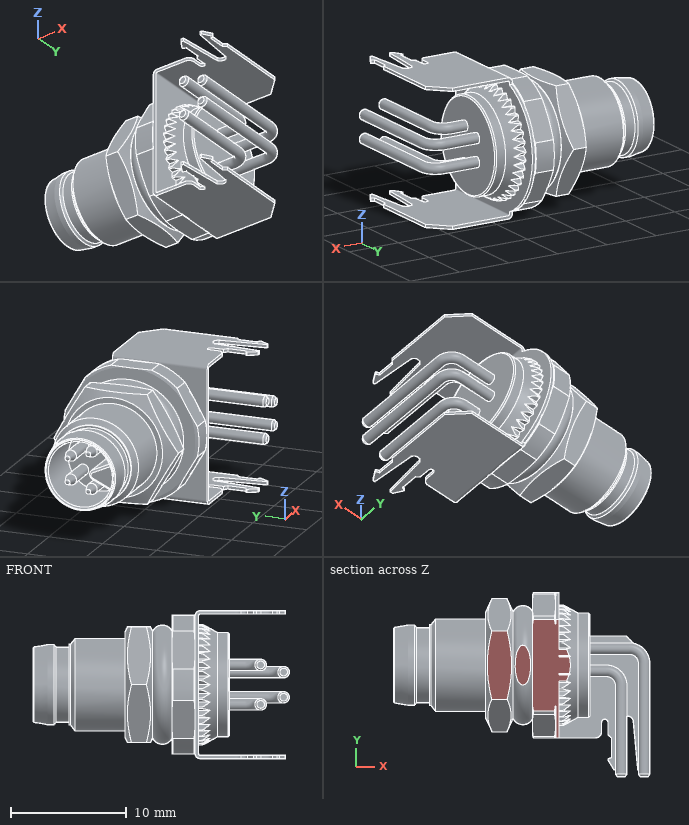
import cadquery as cq
import math


TIP_RADIUS = 3.28
TIP_EDGE = 0.09
TIP_TAPER_END = 1.26
TIP_BAND_RADIUS = 3.48
TIP_BAND_END = 1.8
NECK_START = 2.0
NECK_RADIUS = 3.25
NECK_END = 3.1
SHOULDER_RADIUS = 3.5
SHOULDER_EDGE_END = 3.23
BODY_START = 3.63
BODY_RADIUS = 4.0

SOCKET_DEPTH = 4.43
SOCKET_RADIUS = 2.97
SOCKET_FLOOR_RADIUS = 2.85
SOCKET_MOUTH_RADIUS = 3.15
SOCKET_MOUTH_DEPTH = 0.1

KEY_FRONT = 0.22
KEY_TIP_OFFSET = 0.73
KEY_TIP_RADIUS = 0.47
KEY_HALF_ANGLE = 25.0
KEY_CHAMFER = 0.2

NUT_START = 7.93
NUT_END = 10.37
NUT_ACROSS_FLATS = 10.01
NUT_CHAMFER_RADIUS = 4.55
NUT_CHAMFER_LENGTH = 0.58

RING_CORE_RADIUS = 4.23
RING_SECTION_RADIUS = 0.93

FLANGE_START = 11.98
FLANGE_ACROSS_FLATS = 12.0
FLANGE_RADIUS = 6.3
FLANGE_CHAMFER_LENGTH = 0.09
FLANGE_CHAMFER_DEPTH = 0.29

BRACKET_FRONT = 14.0
SHEET = 0.3
BRACKET_HEIGHT = 12.8
BEND_RADIUS = 0.45
BRACKET_TOP = 2.53
BRACKET_BOTTOM = -6.3
LEG_END = 21.8
LEG_CORNER_CUT = 1.68

PRONG_TIP = -9.04
PRONG_TIP_OUTER = 1.13
HOOK_BOTTOM = -8.2
HOOK_TOP = -8.08
HOOK_HALF_WIDTH = 1.65
NECK_BOTTOM = -7.97
NECK_TOP = -6.3
NECK_HALF_WIDTH = 1.33
PRONG_ROOT = -6.02
SLOT_TOP = -4.4
SLOT_ARC_END = -4.75
SLOT_HALF_WIDTH = 0.49
SLOT_MOUTH_HALF_WIDTH = 0.89
SLOT_SHIFT = 0.05
RELIEF_WIDTH = 0.53
RELIEF_TOP = -4.67
LEG_CORNER_RADIUS = 0.55

COLLAR_RADIUS = 5.23
COLLAR_ROUND_START = 14.53
COLLAR_CONE_START = 14.85
COLLAR_CONE_RADIUS = 5.12
REAR_START = 15.93
REAR_RADIUS = 4.52
REAR_END = 16.97
REAR_CHAMFER = 0.13
GROOVE_COUNT = 40
GROOVE_BOTTOM_RADIUS = 4.87

OVERALL_LENGTH = 22.15
PIN_RADIUS = 0.498
CONTACT_TIP = 0.62
CONTACT_DOME_LENGTH = 0.09
CONTACT_DOME_RADIUS = 0.22
CONTACT_TAPER_END = 1.55
PIN_END = -9.65
PIN_END_CHAMFER = 0.25
PIN_END_RADIUS = 0.33
PIN_BEND_RADIUS = 1.28
PIN_PAIRS = [(-0.49, 1.7, 19.67), (1.45, 1.09, OVERALL_LENGTH - PIN_RADIUS)]


def revolve_about_x(outline):
    """Turn a closed XY outline about the connector axis."""
    return outline.close().revolve(360, (0, 0, 0), (1, 0, 0))


def cylinder_x(start, end, radius):
    return cq.Workplane("YZ", origin=(start, 0, 0)).circle(radius).extrude(end - start)


def hexagon_x(start, end, across_flats):
    """Hexagonal prism along X with flats facing +Z and -Z."""
    across_corners = across_flats / math.cos(math.radians(30))
    return cq.Workplane("YZ", origin=(start, 0, 0)).polygon(6, across_corners).extrude(end - start)


def make_body():
    outline = (
        cq.Workplane("XY")
        .lineTo(0, TIP_RADIUS - TIP_EDGE)
        .lineTo(TIP_EDGE, TIP_RADIUS)
        .lineTo(TIP_TAPER_END, TIP_BAND_RADIUS)
        .lineTo(TIP_BAND_END, TIP_BAND_RADIUS)
        .lineTo(NECK_START, NECK_RADIUS)
        .lineTo(NECK_END, NECK_RADIUS)
        .lineTo(NECK_END, SHOULDER_RADIUS)
        .lineTo(SHOULDER_EDGE_END, SHOULDER_RADIUS)
        .lineTo(BODY_START, BODY_RADIUS)
        .lineTo(FLANGE_START, BODY_RADIUS)
        .lineTo(FLANGE_START, 0)
    )
    socket = (
        cq.Workplane("XY")
        .lineTo(0, SOCKET_MOUTH_RADIUS)
        .lineTo(SOCKET_MOUTH_DEPTH, SOCKET_RADIUS)
        .lineTo(SOCKET_DEPTH, SOCKET_FLOOR_RADIUS)
        .lineTo(SOCKET_DEPTH, 0)
    )
    return revolve_about_x(outline).cut(revolve_about_x(socket))


def make_key():
    """Wedge with a rounded tip, reaching from the socket wall towards the axis."""
    angle = math.radians(KEY_HALF_ANGLE)
    tip_centre = -KEY_TIP_OFFSET - KEY_TIP_RADIUS
    tangent_y = tip_centre + KEY_TIP_RADIUS * math.sin(angle)
    tangent_z = KEY_TIP_RADIUS * math.cos(angle)
    back_y = -SOCKET_MOUTH_RADIUS - 2 * KEY_CHAMFER
    back_z = tangent_z + (tangent_y - back_y) * math.tan(angle)
    wedge = (
        cq.Workplane("YZ", origin=(KEY_FRONT, 0, 0))
        .moveTo(back_y, back_z)
        .lineTo(tangent_y, tangent_z)
        .threePointArc((-KEY_TIP_OFFSET, 0), (tangent_y, -tangent_z))
        .lineTo(back_y, -back_z)
        .close()
        .extrude(SOCKET_DEPTH - KEY_FRONT)
        .faces("<X")
        .chamfer(KEY_CHAMFER)
    )
    wall_middle = (SOCKET_RADIUS + TIP_RADIUS) / 2
    return wedge.intersect(cylinder_x(0, SOCKET_DEPTH, wall_middle))


def make_nut():
    corner_radius = NUT_ACROSS_FLATS / 2 / math.cos(math.radians(30))
    envelope = (
        cq.Workplane("XY")
        .moveTo(NUT_START, 0)
        .lineTo(NUT_START, NUT_CHAMFER_RADIUS)
        .lineTo(NUT_START + NUT_CHAMFER_LENGTH, corner_radius)
        .lineTo(NUT_END - NUT_CHAMFER_LENGTH, corner_radius)
        .lineTo(NUT_END, NUT_CHAMFER_RADIUS)
        .lineTo(NUT_END, 0)
    )
    return hexagon_x(NUT_START, NUT_END, NUT_ACROSS_FLATS).intersect(revolve_about_x(envelope))


def make_ring():
    middle = (NUT_END + FLANGE_START) / 2
    section = cq.Workplane("XY").center(middle, RING_CORE_RADIUS).circle(RING_SECTION_RADIUS)
    return section.revolve(360, (0, -RING_CORE_RADIUS, 0), (1, -RING_CORE_RADIUS, 0))


def make_flange():
    face_radius = FLANGE_RADIUS - FLANGE_CHAMFER_DEPTH
    envelope = (
        cq.Workplane("XY")
        .moveTo(FLANGE_START, 0)
        .lineTo(FLANGE_START, face_radius)
        .lineTo(FLANGE_START + FLANGE_CHAMFER_LENGTH, FLANGE_RADIUS)
        .lineTo(BRACKET_FRONT - FLANGE_CHAMFER_LENGTH, FLANGE_RADIUS)
        .lineTo(BRACKET_FRONT, face_radius)
        .lineTo(BRACKET_FRONT, 0)
    )
    return hexagon_x(FLANGE_START, BRACKET_FRONT, FLANGE_ACROSS_FLATS).intersect(revolve_about_x(envelope))


def leg_outline():
    """Side outline of a bracket leg, with two mirrored snap prongs and a slot between them."""
    middle = LEG_END - HOOK_HALF_WIDTH
    slot_middle = middle + SLOT_SHIFT
    relief_right = middle - HOOK_HALF_WIDTH
    relief_left = relief_right - RELIEF_WIDTH
    relief_arc_end = RELIEF_TOP - RELIEF_WIDTH / 2
    prong_side = [
        (HOOK_HALF_WIDTH, PRONG_ROOT),
        (NECK_HALF_WIDTH, NECK_TOP),
        (NECK_HALF_WIDTH, NECK_BOTTOM),
        (HOOK_HALF_WIDTH, HOOK_TOP),
        (HOOK_HALF_WIDTH, HOOK_BOTTOM),
        (PRONG_TIP_OUTER, PRONG_TIP),
    ]
    outline = (
        cq.Workplane("XY")
        .moveTo(BRACKET_FRONT, BRACKET_TOP)
        .lineTo(LEG_END - LEG_CORNER_CUT, BRACKET_TOP)
        .lineTo(LEG_END, BRACKET_TOP - LEG_CORNER_CUT)
    )
    for offset, y in prong_side:
        outline = outline.lineTo(middle + offset, y)
    outline = (
        outline.lineTo(slot_middle + SLOT_MOUTH_HALF_WIDTH, PRONG_TIP)
        .lineTo(slot_middle + SLOT_HALF_WIDTH, SLOT_ARC_END)
        .threePointArc((slot_middle, SLOT_TOP), (slot_middle - SLOT_HALF_WIDTH, SLOT_ARC_END))
        .lineTo(slot_middle - SLOT_MOUTH_HALF_WIDTH, PRONG_TIP)
    )
    for offset, y in reversed(prong_side):
        outline = outline.lineTo(middle - offset, y)
    return (
        outline.lineTo(relief_right, relief_arc_end)
        .threePointArc(((relief_left + relief_right) / 2, RELIEF_TOP), (relief_left, relief_arc_end))
        .lineTo(relief_left, BRACKET_BOTTOM + LEG_CORNER_RADIUS)
        .radiusArc((relief_left - LEG_CORNER_RADIUS, BRACKET_BOTTOM), LEG_CORNER_RADIUS)
        .lineTo(BRACKET_FRONT, BRACKET_BOTTOM)
        .close()
    )


def make_bracket():
    """Bent U-shaped sheet, its web extended by a round lobe behind the flange."""
    half_height = BRACKET_HEIGHT / 2
    length = LEG_END - BRACKET_FRONT
    inside = (
        cq.Workplane("XY")
        .box(length, -2 * PRONG_TIP, BRACKET_HEIGHT - 2 * SHEET, centered=(False, True, True))
        .edges("|Y and <X")
        .fillet(BEND_RADIUS - SHEET)
        .translate((BRACKET_FRONT + SHEET, 0, 0))
    )
    channel = (
        leg_outline()
        .extrude(half_height, both=True)
        .edges("|Y and <X")
        .fillet(BEND_RADIUS)
        .cut(inside)
    )
    flat_web_height = BRACKET_HEIGHT - 2 * BEND_RADIUS
    lobe = cylinder_x(BRACKET_FRONT, BRACKET_FRONT + SHEET, FLANGE_RADIUS).intersect(
        cq.Workplane("XY").box(2 * LEG_END, 2 * FLANGE_RADIUS, flat_web_height)
    )
    return channel.union(lobe)


def make_collar():
    """Rear collar with right-angled V grooves that run out on its cone."""
    arc_middle_x = (COLLAR_ROUND_START + COLLAR_CONE_START) / 2
    arc_middle_radius = COLLAR_RADIUS - (COLLAR_RADIUS - COLLAR_CONE_RADIUS) / 4
    outline = (
        cq.Workplane("XY")
        .moveTo(BRACKET_FRONT, 0)
        .lineTo(BRACKET_FRONT, COLLAR_RADIUS)
        .lineTo(COLLAR_ROUND_START, COLLAR_RADIUS)
        .threePointArc((arc_middle_x, arc_middle_radius), (COLLAR_CONE_START, COLLAR_CONE_RADIUS))
        .lineTo(REAR_START, REAR_RADIUS)
        .lineTo(REAR_END - REAR_CHAMFER, REAR_RADIUS)
        .lineTo(REAR_END, REAR_RADIUS - REAR_CHAMFER)
        .lineTo(REAR_END, 0)
    )
    depth = COLLAR_RADIUS - GROOVE_BOTTOM_RADIUS
    groove = (
        cq.Workplane("YZ", origin=(BRACKET_FRONT, 0, 0))
        .moveTo(-GROOVE_BOTTOM_RADIUS, 0)
        .lineTo(-GROOVE_BOTTOM_RADIUS - 2 * depth, 2 * depth)
        .lineTo(-GROOVE_BOTTOM_RADIUS - 2 * depth, -2 * depth)
        .close()
        .extrude(REAR_START - BRACKET_FRONT)
    )
    collar = revolve_about_x(outline)
    for index in range(GROOVE_COUNT):
        collar = collar.cut(groove.rotate((0, 0, 0), (1, 0, 0), index * 360 / GROOVE_COUNT))
    return collar


def make_contact(y, z):
    """Contact with a low domed tip and a conical lead-in."""
    dome_sphere_radius = (CONTACT_DOME_RADIUS**2 + CONTACT_DOME_LENGTH**2) / (2 * CONTACT_DOME_LENGTH)
    outline = (
        cq.Workplane("XY")
        .moveTo(CONTACT_TIP, 0)
        .radiusArc((CONTACT_TIP + CONTACT_DOME_LENGTH, CONTACT_DOME_RADIUS), dome_sphere_radius)
        .lineTo(CONTACT_TAPER_END, PIN_RADIUS)
        .lineTo(SOCKET_DEPTH, PIN_RADIUS)
        .lineTo(SOCKET_DEPTH, 0)
    )
    return revolve_about_x(outline).translate((0, y, z))


def make_solder_pin(y, z, leg_x):
    """Round pin leaving the rear face along X, bent down along -Y, with a chamfered end."""
    bend_start = leg_x - PIN_BEND_RADIUS
    bend_end = y - PIN_BEND_RADIUS
    path = (
        cq.Workplane("XY", origin=(0, 0, z))
        .moveTo(REAR_END, y)
        .lineTo(bend_start, y)
        .radiusArc((leg_x, bend_end), PIN_BEND_RADIUS)
        .lineTo(leg_x, PIN_END)
    )
    pin = cq.Workplane("YZ", origin=(REAR_END, y, z)).circle(PIN_RADIUS).sweep(path)
    return pin.faces("<Y").chamfer(PIN_END_CHAMFER, PIN_RADIUS - PIN_END_RADIUS)


result = make_body()
for part in (make_key(), make_nut(), make_ring(), make_flange(), make_bracket(), make_collar()):
    result = result.union(part)
for pin_y, pin_z, pin_leg_x in PIN_PAIRS:
    for side in (1, -1):
        result = result.union(make_contact(pin_y, side * pin_z))
        result = result.union(make_solder_pin(pin_y, side * pin_z, pin_leg_x))